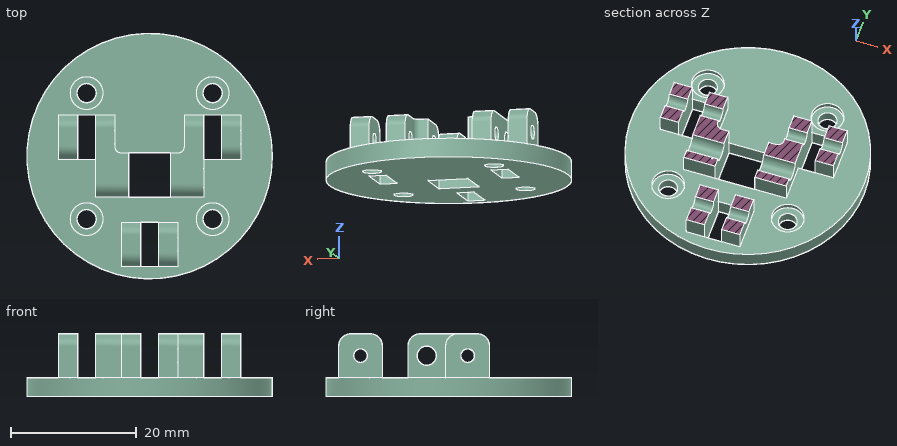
import cadquery as cq

PLATE_DIAMETER = 39.0
PLATE_THICKNESS = 3.0

MOUNT_SPACING = 20.0
MOUNT_HOLE_DIAMETER = 3.0
COUNTERBORE_DIAMETER = 5.2
COUNTERBORE_DEPTH = 1.0

LUG_DEPTH = 7.0
LUG_HEIGHT = 7.0
LUG_ROUND = 2.0
PIN_Z = PLATE_THICKNESS + LUG_HEIGHT / 2

THIN_LUG = 3.1
NARROW_GAP = 2.8

CENTRAL_Y = -3.0
CENTRAL_PIN_Y = -3.5
CENTRAL_PIN_DIAMETER = 3.0
CENTRAL_SLOT_WIDTH = 6.6
BLOCK_INNER_X = CENTRAL_SLOT_WIDTH / 2
BLOCK_OUTER_X = 8.6
ARM_INNER_X = BLOCK_OUTER_X - THIN_LUG
ARM_CORNER_ROUND = 1.0

SIDE_Y = 3.0
LEFT_PIN_DIAMETER = 2.2
RIGHT_PIN_DIAMETER = 2.1
SIDE_INNER_X = BLOCK_OUTER_X + NARROW_GAP
SIDE_OUTER_X = SIDE_INNER_X + THIN_LUG

FRONT_Y = -14.0
FRONT_PIN_DIAMETER = 2.1
FRONT_INNER_X = NARROW_GAP / 2
FRONT_OUTER_X = FRONT_INNER_X + THIN_LUG


def lug(x_start, x_end, y_start, y_end):
    """Upright block on the plate with its two upper X-direction edges rounded."""
    return (
        cq.Workplane("XY", origin=(0, 0, PLATE_THICKNESS))
        .moveTo((x_start + x_end) / 2, (y_start + y_end) / 2)
        .rect(x_end - x_start, y_end - y_start)
        .extrude(LUG_HEIGHT)
        .edges("|X and >Z")
        .fillet(LUG_ROUND)
    )


def through_slot(x_start, x_end, y_center):
    """Rectangular opening through the plate, as deep along Y as one lug."""
    return (
        cq.Workplane("XY")
        .moveTo((x_start + x_end) / 2, y_center)
        .rect(x_end - x_start, LUG_DEPTH)
        .extrude(PLATE_THICKNESS)
    )


def pin_hole(x_start, x_end, y_center, diameter):
    """Hole along X at pin height."""
    return (
        cq.Workplane("YZ", origin=(x_start, y_center, PIN_Z))
        .circle(diameter / 2)
        .extrude(x_end - x_start)
    )


def both_sides(shape):
    """The shape together with its mirror image across the YZ plane."""
    return shape.union(shape.mirror("YZ"))


def base_plate():
    return (
        cq.Workplane("XY")
        .circle(PLATE_DIAMETER / 2)
        .extrude(PLATE_THICKNESS)
        .faces(">Z")
        .workplane()
        .rect(MOUNT_SPACING, MOUNT_SPACING, forConstruction=True)
        .vertices()
        .cboreHole(MOUNT_HOLE_DIAMETER, COUNTERBORE_DIAMETER, COUNTERBORE_DEPTH)
    )


def central_block():
    """L-shaped block on +X: a wide lug at the front, a thin arm to the rear, rounded inner corner."""
    front_y = CENTRAL_Y - LUG_DEPTH / 2
    notch_y = CENTRAL_Y + LUG_DEPTH / 2
    rear_y = SIDE_Y + LUG_DEPTH / 2
    notch = (
        cq.Workplane("XY", origin=(0, 0, PLATE_THICKNESS))
        .moveTo(0, notch_y)
        .lineTo(ARM_INNER_X - ARM_CORNER_ROUND, notch_y)
        .radiusArc((ARM_INNER_X, notch_y + ARM_CORNER_ROUND), -ARM_CORNER_ROUND)
        .lineTo(ARM_INNER_X, rear_y)
        .lineTo(0, rear_y)
        .close()
        .extrude(LUG_HEIGHT)
    )
    return lug(BLOCK_INNER_X, BLOCK_OUTER_X, front_y, rear_y).cut(notch)


def side_lug():
    return lug(SIDE_INNER_X, SIDE_OUTER_X, SIDE_Y - LUG_DEPTH / 2, SIDE_Y + LUG_DEPTH / 2)


def front_lug():
    return lug(FRONT_INNER_X, FRONT_OUTER_X, FRONT_Y - LUG_DEPTH / 2, FRONT_Y + LUG_DEPTH / 2)


result = base_plate()
for hinge_part in (central_block(), side_lug(), front_lug()):
    result = result.union(both_sides(hinge_part))

result = result.cut(both_sides(through_slot(BLOCK_OUTER_X, SIDE_INNER_X, SIDE_Y)))
result = result.cut(through_slot(-BLOCK_INNER_X, BLOCK_INNER_X, CENTRAL_Y))
result = result.cut(through_slot(-FRONT_INNER_X, FRONT_INNER_X, FRONT_Y))

for x_start, x_end, pin_y, pin_diameter in (
    (-SIDE_OUTER_X, 0, SIDE_Y, LEFT_PIN_DIAMETER),
    (0, SIDE_OUTER_X, SIDE_Y, RIGHT_PIN_DIAMETER),
    (-BLOCK_OUTER_X, BLOCK_OUTER_X, CENTRAL_PIN_Y, CENTRAL_PIN_DIAMETER),
    (-FRONT_OUTER_X, FRONT_OUTER_X, FRONT_Y, FRONT_PIN_DIAMETER),
):
    result = result.cut(pin_hole(x_start, x_end, pin_y, pin_diameter))